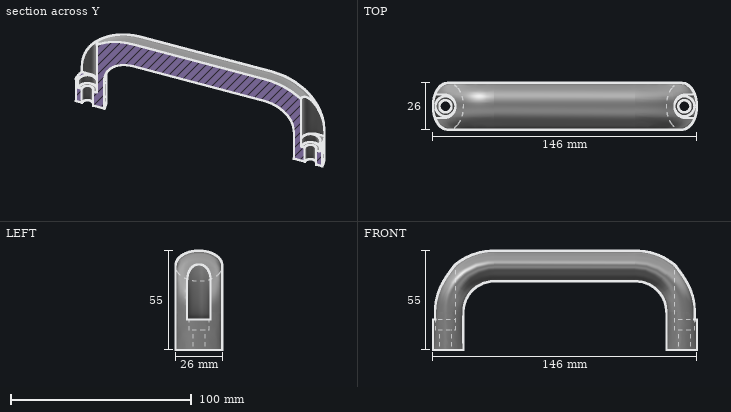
import cadquery as cq

length = 146.0
width = 26.0
height = 55.0

bar_thickness = 17.0
outer_bend_radius = 34.0

hole_spacing = 132.0
hole_diameter = 6.6
counterbore_diameter = 11.0
counterbore_floor_z = 11.0
access_slot_width = 13.0
access_slot_floor_z = 17.0

leg_center_x = (length - bar_thickness) / 2
bar_center_z = height - bar_thickness / 2
bend_radius = outer_bend_radius - bar_thickness / 2
bend_start_x = leg_center_x - bend_radius
bend_start_z = bar_center_z - bend_radius

slot_round_center_x = (hole_spacing - counterbore_diameter + access_slot_width) / 2


def make_bar():
    """Elliptical bar swept up one leg, along the grip and down the other leg."""
    path = (
        cq.Workplane("XZ")
        .moveTo(-leg_center_x, 0)
        .lineTo(-leg_center_x, bend_start_z)
        .radiusArc((-bend_start_x, bar_center_z), bend_radius)
        .lineTo(bend_start_x, bar_center_z)
        .radiusArc((leg_center_x, bend_start_z), bend_radius)
        .lineTo(leg_center_x, 0)
    )
    return (
        cq.Workplane("XY")
        .center(-leg_center_x, 0)
        .ellipse(bar_thickness / 2, width / 2)
        .sweep(path)
    )


def vertical_cylinder(x, diameter, bottom_z):
    """Round cutter from bottom_z up to the top of the part."""
    return (
        cq.Workplane("XY", origin=(x, 0, bottom_z))
        .circle(diameter / 2)
        .extrude(height - bottom_z)
    )


def mounting_cutter(side):
    """Screw hole, counterbore and outward-open access slot; side is -1 or +1 along X."""
    hole_x = side * hole_spacing / 2
    slot_round_x = side * slot_round_center_x
    leg_face_x = side * length / 2
    slot_length = abs(leg_face_x - slot_round_x)
    slot_opening = (
        cq.Workplane("XY", origin=((slot_round_x + leg_face_x) / 2, 0, access_slot_floor_z))
        .rect(slot_length, access_slot_width)
        .extrude(height - access_slot_floor_z)
    )
    return (
        vertical_cylinder(slot_round_x, access_slot_width, access_slot_floor_z)
        .union(slot_opening)
        .union(vertical_cylinder(hole_x, counterbore_diameter, counterbore_floor_z))
        .union(vertical_cylinder(hole_x, hole_diameter, 0))
    )


handle = make_bar()
for side in (-1, 1):
    handle = handle.cut(mounting_cutter(side))

result = handle